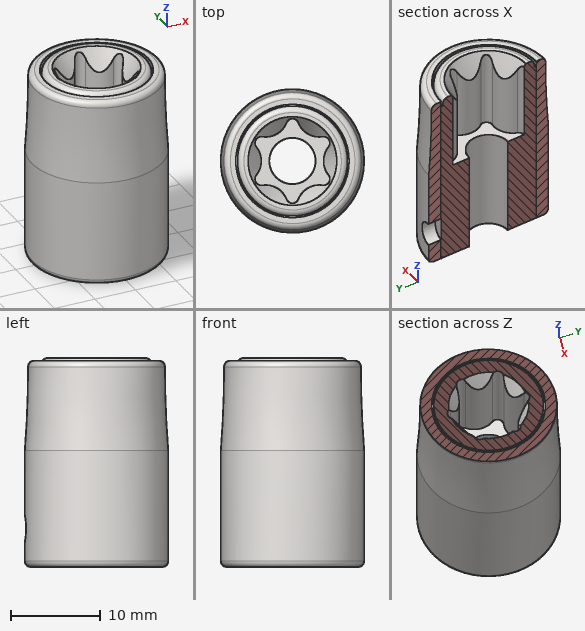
import cadquery as cq
import math

height = 23.3
sleeve_diameter = 16.0
sleeve_radius = sleeve_diameter / 2
sleeve_top_z = 23.0
shoulder_z = 13.0
neck_radius = 7.65
edge_radius = 0.7

insert_radius = 6.31
rim_radius = 6.13
rim_base_z = sleeve_top_z - edge_radius
bore_radius = 2.56
socket_depth = height - shoulder_z
tip_reach = 4.7
tip_radius = 0.7
valley_reach = 3.47
lobe_count = 6
lead_in_radius = 4.95
lead_in_angle = 30

side_hole_radius = 1.51
side_hole_z = 4.3


def polar(radius, degrees):
    """Point in the XY plane at a radius and an angle."""
    angle = math.radians(degrees)
    return (radius * math.cos(angle), radius * math.sin(angle))


def make_sleeve():
    """Outer shell: straight below the shoulder, curving in to an upright neck above it."""
    neck_top_z = sleeve_top_z - edge_radius
    rise = neck_top_z - shoulder_z
    draw_in = sleeve_radius - neck_radius
    arc_radius = (rise**2 + draw_in**2) / (2 * draw_in)
    mid_rise = rise / 2
    mid_radius = neck_radius + arc_radius - math.sqrt(arc_radius**2 - mid_rise**2)
    corner_offset = edge_radius * math.sqrt(0.5)

    sleeve = (
        cq.Workplane("XZ")
        .moveTo(insert_radius, 0)
        .lineTo(sleeve_radius - edge_radius, 0)
        .threePointArc(
            (sleeve_radius - edge_radius + corner_offset, edge_radius - corner_offset),
            (sleeve_radius, edge_radius),
        )
        .lineTo(sleeve_radius, shoulder_z)
        .threePointArc((mid_radius, neck_top_z - mid_rise), (neck_radius, neck_top_z))
        .threePointArc(
            (neck_radius - edge_radius + corner_offset, neck_top_z + corner_offset),
            (neck_radius - edge_radius, sleeve_top_z),
        )
        .lineTo(insert_radius, sleeve_top_z)
        .close()
        .revolve(360, (0, 0, 0), (0, 1, 0))
    )
    side_hole = (
        cq.Workplane("XZ")
        .center(0, side_hole_z)
        .circle(side_hole_radius)
        .extrude(-sleeve_diameter)
    )
    return sleeve.cut(side_hole)


def make_star_socket():
    """Six-pointed socket of rounded tips joined by tangent lobes, one tip toward +Y."""
    half_pitch = 180 / lobe_count
    tip_center = tip_reach - tip_radius
    cosine = math.cos(math.radians(half_pitch))
    lobe_radius = (
        tip_center**2 + valley_reach**2 - 2 * tip_center * valley_reach * cosine - tip_radius**2
    ) / (2 * (tip_radius - valley_reach + tip_center * cosine))
    lobe_center = valley_reach + lobe_radius
    tip_share = tip_radius / (tip_radius + lobe_radius)

    def tangent_point(tip_angle, lobe_angle):
        tip_x, tip_y = polar(tip_center, tip_angle)
        lobe_x, lobe_y = polar(lobe_center, lobe_angle)
        return (tip_x + tip_share * (lobe_x - tip_x), tip_y + tip_share * (lobe_y - tip_y))

    outline = cq.Workplane("XY", origin=(0, 0, height - socket_depth))
    outline = outline.moveTo(*tangent_point(half_pitch, 0))
    for index in range(lobe_count):
        lobe_angle = 2 * half_pitch * index
        tip_angle = lobe_angle + half_pitch
        next_lobe_angle = tip_angle + half_pitch
        next_tip_angle = next_lobe_angle + half_pitch
        outline = outline.threePointArc(
            polar(tip_reach, tip_angle), tangent_point(tip_angle, next_lobe_angle)
        )
        outline = outline.threePointArc(
            polar(valley_reach, next_lobe_angle), tangent_point(next_tip_angle, next_lobe_angle)
        )
    return outline.close().extrude(socket_depth)


def make_lead_in():
    """Conical mouth of the socket, ending in a point below the top face."""
    cone_depth = lead_in_radius / math.tan(math.radians(lead_in_angle))
    return cq.Workplane(
        cq.Solid.makeCone(0, lead_in_radius, cone_depth, cq.Vector(0, 0, height - cone_depth))
    )


def make_insert():
    """Inner tool with a narrower rounded rim, star socket and central through bore."""
    insert = cq.Workplane("XY").circle(insert_radius).extrude(rim_base_z)
    insert = insert.faces(">Z").workplane().circle(rim_radius).extrude(height - rim_base_z)
    insert = insert.faces(">Z").edges().fillet(edge_radius)
    bore = cq.Workplane("XY").circle(bore_radius).extrude(height)
    return insert.cut(make_star_socket()).cut(make_lead_in()).cut(bore)


sleeve = make_sleeve()
insert = make_insert()
result = cq.Compound.makeCompound([sleeve.val(), insert.val()])